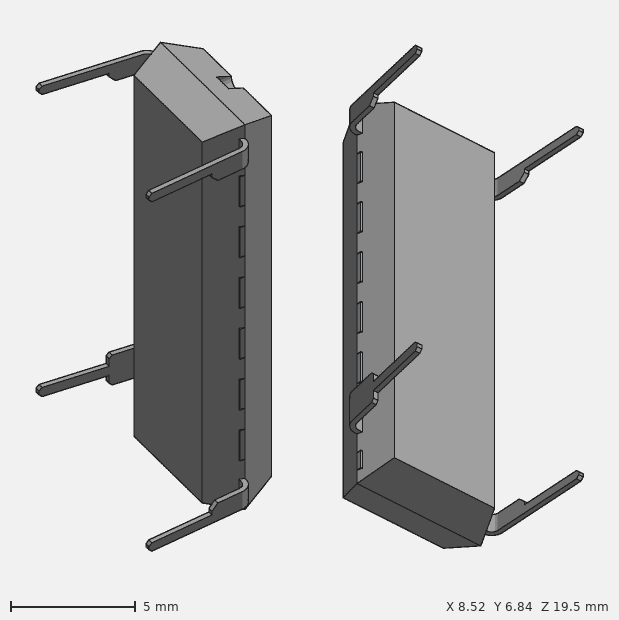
import cadquery as cq
import math

BODY_LENGTH = 19.5
BODY_WIDTH = 6.35
HALF_THICKNESS = 1.64
TAPER_INSET = 0.6

NOTCH_DIAMETER = 0.9
NOTCH_DEPTH = 0.7

LEAD_THICKNESS = 0.23
LEAD_SPAN = 8.52
LEAD_REACH = 5.2
LEAD_TILT = math.radians(5)
BEND_RADIUS = 0.58
ROOT_DEPTH = 0.58

PAD_WIDTH = 1.52
SHOULDER_REACH = 2.07
TAIL_WIDTH = 0.47
CORNER_TAIL_WIDTH = 0.43
TIP_CHAMFER = 0.14
PAD_CHAMFER = 0.14
CORNER_PAD_CHAMFER = 0.3

LEAD_PITCH = 2.57
LEADS_PER_SIDE = 8
CORNER_PAD_WIDTH = 0.9
CORNER_OUTER_EDGE = 9.07

LEFT, RIGHT = -1, 1
BACK, FRONT = 1, -1
LAST = LEADS_PER_SIDE - 1
FULL_LEADS = [(LEFT, 0), (LEFT, LAST - 1), (RIGHT, 0), (RIGHT, LAST)]


def tapered_half(direction):
    """Body half from the parting plane to a smaller flat face at +Y or -Y."""
    return (
        cq.Workplane("XZ")
        .rect(BODY_WIDTH, BODY_LENGTH)
        .workplane(offset=-direction * HALF_THICKNESS)
        .rect(BODY_WIDTH - 2 * TAPER_INSET, BODY_LENGTH - 2 * TAPER_INSET)
        .loft(ruled=True)
    )


def index_notch():
    """U-shaped cutter: round at its lower end, open through the top end of the body."""
    radius = NOTCH_DIAMETER / 2
    round_z = BODY_LENGTH / 2 - TAPER_INSET
    return (
        cq.Workplane("XZ", origin=(0, HALF_THICKNESS, 0))
        .moveTo(-radius, BODY_LENGTH / 2)
        .lineTo(-radius, round_z)
        .threePointArc((0, round_z - radius), (radius, round_z))
        .lineTo(radius, BODY_LENGTH / 2)
        .close()
        .extrude(NOTCH_DEPTH)
    )


def pad_range(index):
    """Lower and upper Z of the wide part of a lead."""
    if index == 0:
        return CORNER_OUTER_EDGE - CORNER_PAD_WIDTH, CORNER_OUTER_EDGE
    if index == LAST:
        return -CORNER_OUTER_EDGE, CORNER_PAD_WIDTH - CORNER_OUTER_EDGE
    middle = (LAST / 2 - index) * LEAD_PITCH
    return middle - PAD_WIDTH / 2, middle + PAD_WIDTH / 2


def stub(side, index):
    """Lead cut off flush with the widest part of the body."""
    low, high = pad_range(index)
    middle_x = side * (BODY_WIDTH - ROOT_DEPTH) / 2
    return cq.Workplane("XY").box(ROOT_DEPTH, LEAD_THICKNESS, high - low).translate(
        (middle_x, -LEAD_THICKNESS / 2, (low + high) / 2)
    )


def bent_strip(side):
    """Full-length strip: flat root, round bend, then a leg splayed outwards."""
    sin_tilt = math.sin(LEAD_TILT)
    cos_tilt = math.cos(LEAD_TILT)
    tip_x = LEAD_SPAN / 2
    bend_y = -BEND_RADIUS
    leg_drop = LEAD_REACH + bend_y + BEND_RADIUS * sin_tilt
    bend_x = tip_x - leg_drop * math.tan(LEAD_TILT) - BEND_RADIUS * cos_tilt
    root_x = BODY_WIDTH / 2 - ROOT_DEPTH
    half_sweep = (math.pi / 2 + LEAD_TILT) / 2
    tip_thickness = LEAD_THICKNESS / cos_tilt

    def on_bend(radius, angle):
        x = bend_x + radius * math.cos(angle)
        return side * x, bend_y + radius * math.sin(angle)

    inner_radius = BEND_RADIUS - LEAD_THICKNESS
    bend_middle = math.pi / 2 - half_sweep
    return (
        cq.Workplane("XY", origin=(0, 0, -BODY_LENGTH / 2))
        .moveTo(side * root_x, 0)
        .lineTo(side * bend_x, 0)
        .threePointArc(on_bend(BEND_RADIUS, bend_middle), on_bend(BEND_RADIUS, LEAD_TILT))
        .lineTo(side * tip_x, -LEAD_REACH)
        .lineTo(side * (tip_x - tip_thickness), -LEAD_REACH)
        .lineTo(*on_bend(inner_radius, LEAD_TILT))
        .threePointArc(on_bend(inner_radius, bend_middle), (side * bend_x, -LEAD_THICKNESS))
        .lineTo(side * root_x, -LEAD_THICKNESS)
        .close()
        .extrude(BODY_LENGTH)
    )


def outline_block(reach, low, high):
    """Block across the whole part, from the parting plane down to the given reach."""
    return (
        cq.Workplane("YZ", origin=(-LEAD_SPAN / 2, 0, 0))
        .moveTo(-reach / 2, (low + high) / 2)
        .rect(reach, high - low)
        .extrude(LEAD_SPAN)
    )


def lead_outline(index):
    """Wide pad narrowing to a tail; end leads carry the tail on their outer edge."""
    low, high = pad_range(index)
    pad = outline_block(SHOULDER_REACH, low, high)
    if index == 0:
        tail_low, tail_high = high - CORNER_TAIL_WIDTH, high
        pad = pad.edges("<Y and <Z").chamfer(CORNER_PAD_CHAMFER)
    elif index == LAST:
        tail_low, tail_high = low, low + CORNER_TAIL_WIDTH
        pad = pad.edges("<Y and >Z").chamfer(CORNER_PAD_CHAMFER)
    else:
        middle = (low + high) / 2
        tail_low, tail_high = middle - TAIL_WIDTH / 2, middle + TAIL_WIDTH / 2
        pad = pad.faces("<Y").edges("|X").chamfer(PAD_CHAMFER)
    tail = outline_block(LEAD_REACH, tail_low, tail_high)
    tail = tail.faces("<Y").edges("|X").chamfer(TIP_CHAMFER)
    return pad.union(tail)


def full_lead(side, index):
    """Bent strip trimmed to the pad-and-tail outline."""
    return bent_strip(side).intersect(lead_outline(index))


result = tapered_half(BACK).union(tapered_half(FRONT)).cut(index_notch())

for side in (LEFT, RIGHT):
    for index in range(LEADS_PER_SIDE):
        make_lead = full_lead if (side, index) in FULL_LEADS else stub
        result = result.union(make_lead(side, index))